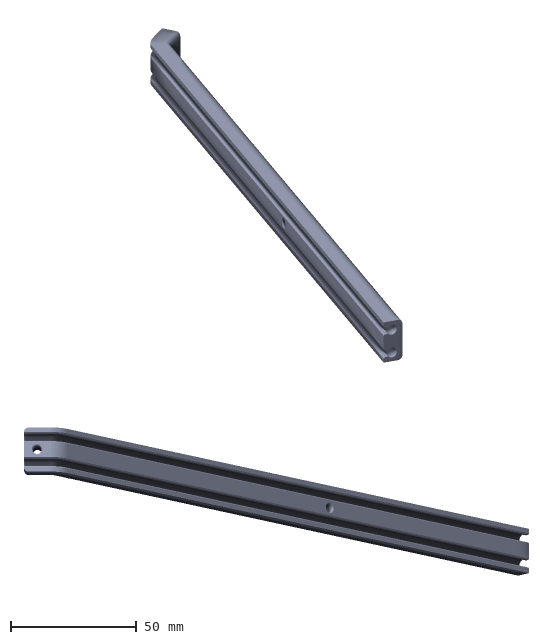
import cadquery as cq
import math

WIDTH = 18.0
THICKNESS = 8.0
BACK_FILLET = 2.0

BEND_ANGLE = 45.0
INNER_BEND_RADIUS = 1.0
BEND_CENTRE_Y = THICKNESS + INNER_BEND_RADIUS

STRAIGHT_LENGTH = 254.78
LEG_LENGTH = 10.76

SLOT_WIDTH = 3.1
SIDE_WALL = 2.35
GROOVE_CENTRE_Z = WIDTH / 2 - SIDE_WALL - SLOT_WIDTH / 2
CHANNEL_DIAMETER = 4.4
CHANNEL_DEPTH = 3.4
MOUTH_CHAMFER = 0.5

HOLE_DIAMETER = 3.4
HOLE_CHAMFER = 0.4
LEG_HOLE_FROM_END = 5.3
BAR_HOLE_FROM_END = 110.0

X_AXIS = cq.Vector(1, 0, 0)
Z_AXIS = cq.Vector(0, 0, 1)
BEND_AXIS_START = cq.Vector(0, BEND_CENTRE_Y, 0)
BEND_AXIS_END = BEND_AXIS_START + Z_AXIS


def bent_onto_leg(shape):
    """Turn a shape about the bend axis from the straight bar's direction to the leg's."""
    return shape.rotate(BEND_AXIS_START, BEND_AXIS_END, -BEND_ANGLE)


def along_bar(outline):
    """Carry a closed outline in the plane X = 0 along the bar, the bend and the leg."""
    section = cq.Face.makeFromWires(outline.val())
    straight = cq.Solid.extrudeLinear(section, X_AXIS * STRAIGHT_LENGTH)
    bend = cq.Solid.revolve(section, BEND_ANGLE, BEND_AXIS_END, BEND_AXIS_START)
    leg = bent_onto_leg(cq.Solid.extrudeLinear(section, X_AXIS * -LEG_LENGTH))
    return cq.Workplane(straight).union(cq.Workplane(bend)).union(cq.Workplane(leg))


def blank_bar():
    """Bent bar with rounded long back edges."""
    section = (
        cq.Workplane("YZ")
        .moveTo(0, -WIDTH / 2)
        .lineTo(THICKNESS - BACK_FILLET, -WIDTH / 2)
        .radiusArc((THICKNESS, -WIDTH / 2 + BACK_FILLET), -BACK_FILLET)
        .lineTo(THICKNESS, WIDTH / 2 - BACK_FILLET)
        .radiusArc((THICKNESS - BACK_FILLET, WIDTH / 2), -BACK_FILLET)
        .lineTo(0, WIDTH / 2)
        .close()
    )
    return along_bar(section)


def round_leg_end(bar):
    """Round the sides and back of the leg's end face; its front edge stays sharp."""
    end_face = min(bar.faces("%PLANE").vals(), key=lambda face: face.Center().x)
    front_edge = min(end_face.Edges(), key=lambda edge: edge.Center().y)
    rounded = [edge for edge in end_face.Edges() if not edge.isSame(front_edge)]
    return cq.Workplane(bar.val().fillet(BACK_FILLET, rounded))


def groove(side):
    """Keyhole groove cutter on the side of the rib given by +1 or -1."""
    rib_z = side * (GROOVE_CENTRE_Z - SLOT_WIDTH / 2)
    wall_z = side * (GROOVE_CENTRE_Z + SLOT_WIDTH / 2)
    channel_radius = CHANNEL_DIAMETER / 2
    slot_depth = CHANNEL_DEPTH - math.sqrt(channel_radius**2 - (SLOT_WIDTH / 2) ** 2)
    channel_floor = (CHANNEL_DEPTH + channel_radius, side * GROOVE_CENTRE_Z)
    section = (
        cq.Workplane("YZ")
        .moveTo(0, wall_z + side * MOUTH_CHAMFER)
        .lineTo(MOUTH_CHAMFER, wall_z)
        .lineTo(slot_depth, wall_z)
        .threePointArc(channel_floor, (slot_depth, rib_z))
        .lineTo(MOUTH_CHAMFER, rib_z)
        .lineTo(0, rib_z - side * MOUTH_CHAMFER)
        .close()
    )
    return along_bar(section)


def screw_hole(x):
    """Through-hole cutter entering the front face at x, widest at its mouth."""
    radius = HOLE_DIAMETER / 2
    return (
        cq.Workplane("XY")
        .moveTo(x, 0)
        .lineTo(x + radius + HOLE_CHAMFER, 0)
        .lineTo(x + radius, HOLE_CHAMFER)
        .lineTo(x + radius, THICKNESS)
        .lineTo(x, THICKNESS)
        .close()
        .revolve(360, (x, 0), (x, 1))
    )


result = round_leg_end(blank_bar())
for side in (-1, 1):
    result = result.cut(groove(side))
result = result.cut(screw_hole(STRAIGHT_LENGTH - BAR_HOLE_FROM_END))
result = result.cut(bent_onto_leg(screw_hole(LEG_HOLE_FROM_END - LEG_LENGTH)))